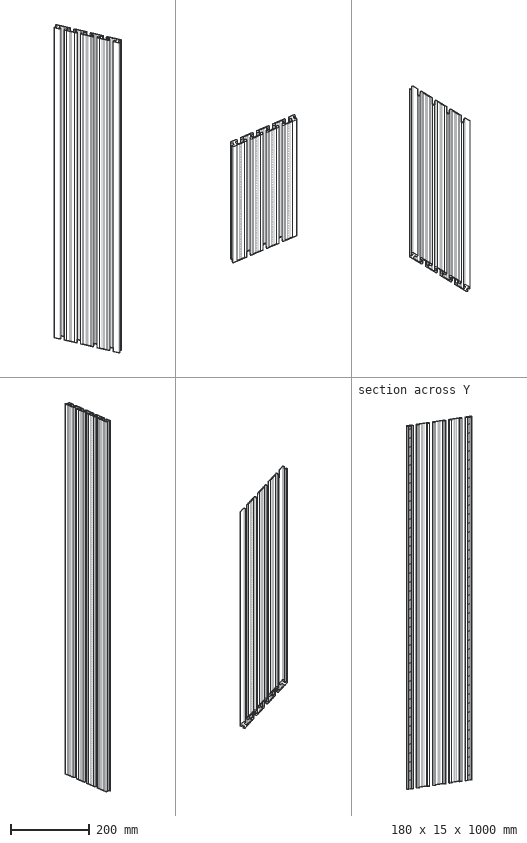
import cadquery as cq

LENGTH = 1000.0
WIDTH = 180.0
THICKNESS = 15.0
CORNER_RADIUS = 2.0

SLOT_PITCH = 45.0
BACK_SLOT_COUNT = 3
FRONT_SLOT_COUNT = BACK_SLOT_COUNT + 1
MOUTH_WIDTH = 10.0
MOUTH_EDGE_RADIUS = 1.1
CAVITY_WIDTH = 21.0
LIP_THICKNESS = 5.5
FLOOR_THICKNESS = 1.8

RIDGE_WIDTH = 6.4
RIDGE_HEIGHT = 0.5

SIDE_GROOVE_WIDTH = 6.0
SIDE_GROOVE_DEPTH = 5.0


def slot_cutter(center_x, side):
    """One full-length T-slot opening on the +Y (side = 1) or -Y (side = -1) face."""
    face_y = side * THICKNESS / 2
    round_end_y = face_y - side * MOUTH_EDGE_RADIUS
    lip_y = face_y - side * LIP_THICKNESS
    floor_y = side * (FLOOR_THICKNESS - THICKNESS / 2)
    ridge_y = floor_y + side * RIDGE_HEIGHT
    half_mouth = MOUTH_WIDTH / 2
    half_opening = half_mouth + MOUTH_EDGE_RADIUS
    half_cavity = CAVITY_WIDTH / 2
    half_ridge = RIDGE_WIDTH / 2
    edge_radius = side * MOUTH_EDGE_RADIUS
    return (
        cq.Workplane("XY")
        .center(center_x, 0)
        .moveTo(half_opening, face_y)
        .radiusArc((half_mouth, round_end_y), -edge_radius)
        .lineTo(half_mouth, lip_y)
        .lineTo(half_cavity, lip_y)
        .lineTo(half_cavity, floor_y)
        .lineTo(half_ridge, floor_y)
        .lineTo(0, ridge_y)
        .lineTo(-half_ridge, floor_y)
        .lineTo(-half_cavity, floor_y)
        .lineTo(-half_cavity, lip_y)
        .lineTo(-half_mouth, lip_y)
        .lineTo(-half_mouth, round_end_y)
        .radiusArc((-half_opening, face_y), -edge_radius)
        .close()
        .extrude(LENGTH)
    )


def cut_slots(body, count, side):
    """Cut a row of evenly spaced slots, centred on the plate, into one broad face."""
    for index in range(count):
        center_x = (index - (count - 1) / 2) * SLOT_PITCH
        body = body.cut(slot_cutter(center_x, side))
    return body


def cut_side_grooves(body):
    """Cut one rectangular groove into each narrow side of the plate."""
    groove_x = (WIDTH - SIDE_GROOVE_DEPTH) / 2
    grooves = (
        cq.Workplane("XY")
        .pushPoints([(-groove_x, 0), (groove_x, 0)])
        .rect(SIDE_GROOVE_DEPTH, SIDE_GROOVE_WIDTH)
        .extrude(LENGTH)
    )
    return body.cut(grooves)


plate = cq.Workplane("XY").rect(WIDTH, THICKNESS).extrude(LENGTH)
plate = plate.edges("|Z").fillet(CORNER_RADIUS)
plate = cut_slots(plate, BACK_SLOT_COUNT, 1)
plate = cut_slots(plate, FRONT_SLOT_COUNT, -1)
result = cut_side_grooves(plate)